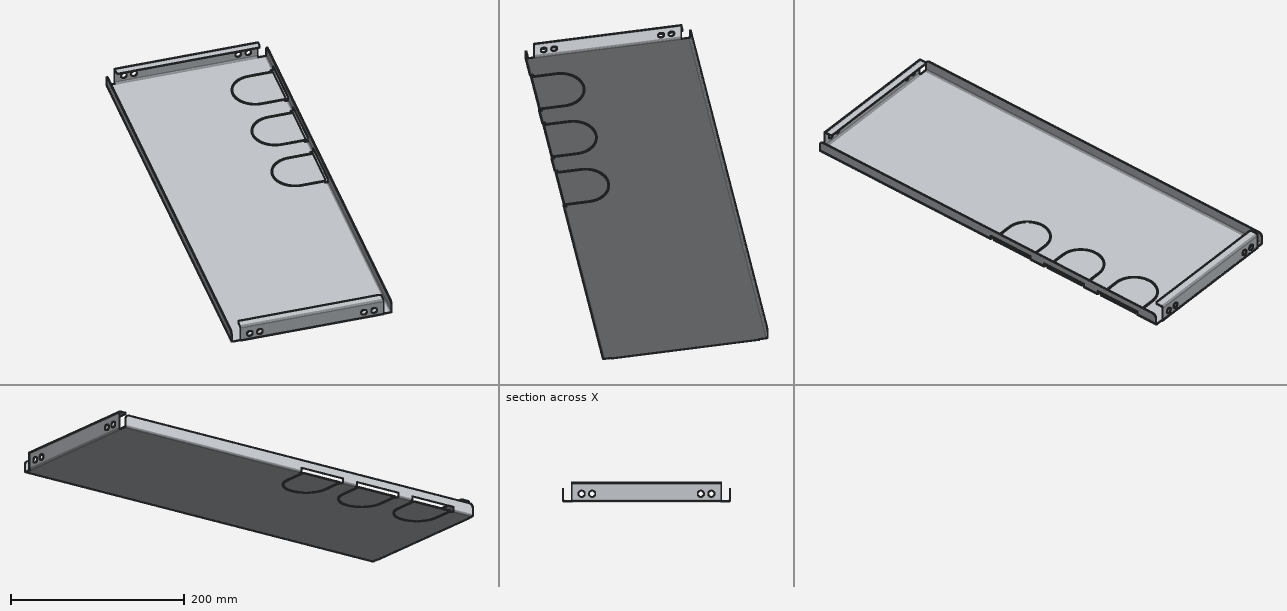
import cadquery as cq

length = 506.5
width = 194.0
height = 22.5

sheet = 1.0
bend_inner = 1.0
bend_outer = bend_inner + sheet

long_wall_height = 15.0
long_wall_length = length - 2 * bend_outer
long_wall_corner = 5.0

end_wall_width = 173.0
lip_depth = 11.0
lip_corner = 2.5

hole_diameter = 7.0
hole_z = 9.0
hole_offsets = (63.0, 75.0)

tab_count = 3
tab_pitch = 80.0
first_tab_x = -193.5
tab_width = 54.5
tab_depth = 58.5
tab_kerf = 1.0
tab_bridge = 1.5

window_depth = 2.0
window_height = 5.5
window_overhang = 2.5
window_corner_depth = 4.0


def make_floor():
    """Flat floor, reaching to where the wall bends start."""
    return cq.Workplane("XY").box(
        length - 2 * bend_outer, width - 2 * bend_outer, sheet, centered=(True, True, False)
    )


def make_long_wall():
    """Back wall with its bend; the outer face lies at half the width."""
    outer = width / 2
    inner = outer - sheet
    start = outer - bend_outer
    wall = (
        cq.Workplane("YZ")
        .moveTo(start, 0)
        .radiusArc((outer, bend_outer), -bend_outer)
        .lineTo(outer, long_wall_height)
        .lineTo(inner, long_wall_height)
        .lineTo(inner, bend_outer)
        .radiusArc((start, sheet), bend_inner)
        .close()
        .extrude(long_wall_length / 2, both=True)
    )
    return wall.edges("|Y and >Z").fillet(long_wall_corner)


def make_end_wall():
    """Wall at +X with its floor bend, inward lip and mounting holes."""
    outer = length / 2
    inner = outer - sheet
    start = outer - bend_outer
    lip_edge = outer - lip_depth
    wall = (
        cq.Workplane("XZ")
        .moveTo(start, 0)
        .radiusArc((outer, bend_outer), -bend_outer)
        .lineTo(outer, height - bend_outer)
        .radiusArc((start, height), -bend_outer)
        .lineTo(lip_edge, height)
        .lineTo(lip_edge, height - sheet)
        .lineTo(start, height - sheet)
        .radiusArc((inner, height - bend_outer), bend_inner)
        .lineTo(inner, bend_outer)
        .radiusArc((start, sheet), bend_inner)
        .close()
        .extrude(end_wall_width / 2, both=True)
    )
    wall = wall.edges("|Z and <X").fillet(lip_corner)
    hole_points = [(side * y, hole_z) for side in (-1, 1) for y in hole_offsets]
    holes = (
        cq.Workplane("YZ", origin=(start, 0, 0))
        .pushPoints(hole_points)
        .circle(hole_diameter / 2)
        .extrude(bend_outer)
    )
    return wall.cut(holes)


def u_shape(half_width, x):
    """U-shaped block through the floor, with its round end toward the front and its open end at the back edge."""
    center_y = width / 2 - tab_depth + tab_width / 2
    return (
        cq.Workplane("XY")
        .moveTo(x - half_width, width / 2)
        .lineTo(x - half_width, center_y)
        .threePointArc((x, center_y - half_width), (x + half_width, center_y))
        .lineTo(x + half_width, width / 2)
        .close()
        .extrude(bend_outer)
    )


def back_edge_block(x, block_width, depth, block_height):
    """Block standing on Z = 0 that reaches forward from the back face of the tray."""
    block = cq.Workplane("XY").box(block_width, depth, block_height, centered=(True, False, False))
    return block.translate((x, width / 2 - depth, 0))


def make_tab_cut(x):
    """Kerf around one tab, bridged at its round end, and the window between the tab and the back wall."""
    half = tab_width / 2
    kerf = u_shape(half, x).cut(u_shape(half - tab_kerf, x))
    bridge = cq.Workplane("XY").center(x, 0).rect(tab_bridge, width).extrude(bend_outer)
    window = back_edge_block(x, tab_width + 2 * window_overhang, window_depth, window_height)
    corner_width = window_overhang + tab_kerf
    corner_offset = half + window_overhang - corner_width / 2
    cut = kerf.cut(bridge).union(window)
    for side in (-1, 1):
        cut = cut.union(
            back_edge_block(x + side * corner_offset, corner_width, window_corner_depth, window_height)
        )
    return cut


back_wall = make_long_wall()
right_wall = make_end_wall()
result = (
    make_floor()
    .union(back_wall)
    .union(back_wall.mirror("XZ"))
    .union(right_wall)
    .union(right_wall.mirror("YZ"))
)
for index in range(tab_count):
    result = result.cut(make_tab_cut(first_tab_x + index * tab_pitch))